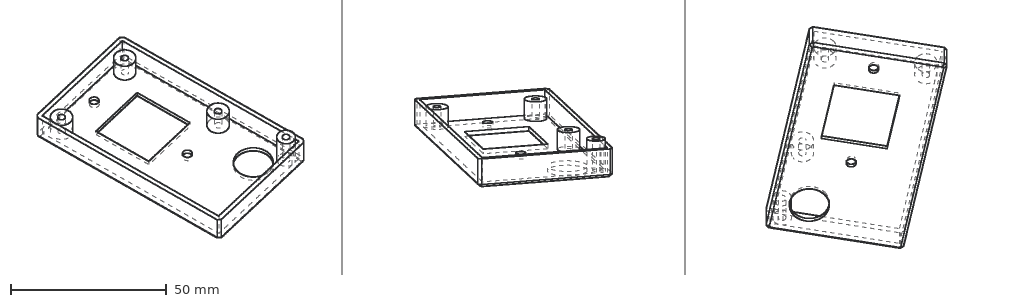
import cadquery as cq

LENGTH = 75.0
WIDTH = 45.0
WALL_HEIGHT = 9.5
WALL = 1.6
FLOOR = 1.5
EDGE_CHAMFER = 1.0

POST_DIAMETER = 7.2
POST_TOP = 8.0
TALL_POST_DIAMETER = 6.0
TALL_POST_TOP = 12.0
PILOT_DIAMETER = 2.4

LEFT_COLUMN_X = -31.5
COLUMN_SPACING = 38.0
MIDDLE_COLUMN_X = LEFT_COLUMN_X + COLUMN_SPACING
POST_ROW_Y = 16.5
POST_CENTRES = [
    (LEFT_COLUMN_X, POST_ROW_Y),
    (MIDDLE_COLUMN_X, POST_ROW_Y),
    (LEFT_COLUMN_X, -POST_ROW_Y),
]
TALL_POST_CENTRE = (33.0, 18.0)

SCREW_HOLE_DIAMETER = 3.2
SCREW_HOLE_Y = 0.5
SCREW_HOLE_CENTRES = [(LEFT_COLUMN_X, SCREW_HOLE_Y), (MIDDLE_COLUMN_X, SCREW_HOLE_Y)]
WINDOW_SIZE = 21.5
WINDOW_CENTRE = (-12.0, 1.0)
ROUND_OPENING_DIAMETER = 12.8
ROUND_OPENING_CENTRE = (25.5, 10.5)


def tray():
    """Open-topped box with chamfered vertical corners and bottom edges."""
    body = cq.Workplane("XY").box(LENGTH, WIDTH, WALL_HEIGHT, centered=(True, True, False))
    body = body.edges("|Z").chamfer(EDGE_CHAMFER)
    body = body.faces("<Z").edges().chamfer(EDGE_CHAMFER)
    cavity = (
        cq.Workplane("XY", origin=(0, 0, FLOOR))
        .rect(LENGTH - 2 * WALL, WIDTH - 2 * WALL)
        .extrude(WALL_HEIGHT - FLOOR)
    )
    return body.cut(cavity)


def cylinders(centres, diameter, bottom, top):
    """Upright cylinders between two heights, one at each centre."""
    return (
        cq.Workplane("XY", origin=(0, 0, bottom))
        .pushPoints(centres)
        .circle(diameter / 2)
        .extrude(top - bottom)
    )


def add_posts(body, centres, diameter, top):
    """Posts rising from the floor, each with a blind pilot hole down to the floor."""
    body = body.union(cylinders(centres, diameter, FLOOR / 2, top))
    return body.cut(cylinders(centres, PILOT_DIAMETER, FLOOR, top))


def cut_floor_openings(body):
    """Screw holes, square window and large round opening through the floor."""
    body = body.cut(cylinders(SCREW_HOLE_CENTRES, SCREW_HOLE_DIAMETER, 0, FLOOR))
    body = body.cut(cylinders([ROUND_OPENING_CENTRE], ROUND_OPENING_DIAMETER, 0, FLOOR))
    window = cq.Workplane("XY").center(*WINDOW_CENTRE).rect(WINDOW_SIZE, WINDOW_SIZE).extrude(FLOOR)
    return body.cut(window)


result = tray()
result = add_posts(result, POST_CENTRES, POST_DIAMETER, POST_TOP)
result = add_posts(result, [TALL_POST_CENTRE], TALL_POST_DIAMETER, TALL_POST_TOP)
result = cut_floor_openings(result)